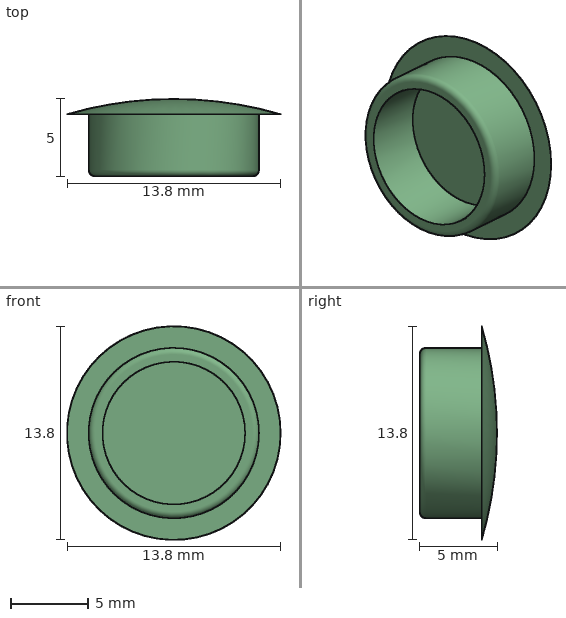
import cadquery as cq

cap_diameter = 13.8
dome_height = 1.0
skirt_diameter = 11.0
skirt_length = 4.0
bore_diameter = 9.2
bore_depth = skirt_length
rim_fillet = 0.4


def make_cap():
    """Spherical dome whose flat underside lies on the XZ plane."""
    cap_radius = cap_diameter / 2
    sphere_radius = (cap_radius**2 + dome_height**2) / (2 * dome_height)
    sphere_center_y = dome_height - sphere_radius
    arc_x = cap_radius / 2
    arc_y = sphere_center_y + (sphere_radius**2 - arc_x**2) ** 0.5
    return (
        cq.Workplane("XY")
        .moveTo(0, 0)
        .lineTo(cap_radius, 0)
        .threePointArc((arc_x, arc_y), (0, dome_height))
        .close()
        .revolve(360, (0, 0, 0), (0, 1, 0))
    )


def make_skirt():
    """Cylinder below the cap, rounded on its outer free edge."""
    return (
        cq.Workplane("XZ")
        .circle(skirt_diameter / 2)
        .extrude(skirt_length)
        .faces("<Y")
        .edges()
        .fillet(rim_fillet)
    )


def make_bore():
    """Blind bore entering from the free end of the skirt."""
    return (
        cq.Workplane("XZ", origin=(0, -skirt_length, 0))
        .circle(bore_diameter / 2)
        .extrude(-bore_depth)
    )


result = make_cap().union(make_skirt()).cut(make_bore())